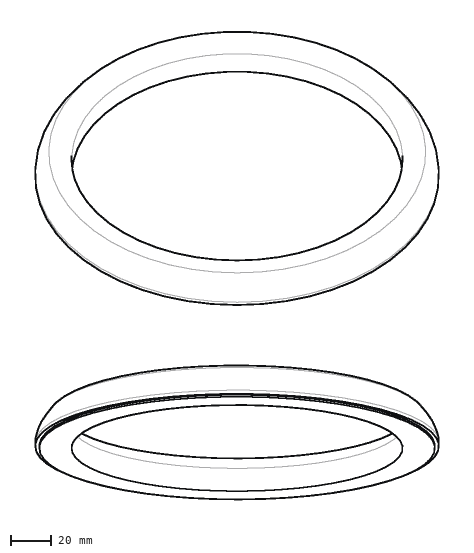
import cadquery as cq
import math

outer_radius = 100.0
bore_radius = 82.0
height = 18.5

foot_radius = 98.0
foot_height = 1.0

rim_top = 3.0
shoulder_top_height = 16.5

crown_arc_radius = 6.5
crown_center_radius = bore_radius + crown_arc_radius
crown_center_height = height - crown_arc_radius

shoulder_top_rise = shoulder_top_height - crown_center_height
shoulder_top_radius = crown_center_radius + math.sqrt(crown_arc_radius**2 - shoulder_top_rise**2)

rim_handle = 5.0
crown_handle = 4.0
shoulder_lean = math.radians(40)
shoulder_curve = [
    (outer_radius, rim_top),
    (outer_radius, rim_top + rim_handle),
    (
        shoulder_top_radius + crown_handle * math.sin(shoulder_lean),
        shoulder_top_height - crown_handle * math.cos(shoulder_lean),
    ),
    (shoulder_top_radius, shoulder_top_height),
]

half_section = (
    cq.Workplane("XZ")
    .moveTo(bore_radius, 0)
    .lineTo(foot_radius, 0)
    .lineTo(foot_radius, foot_height)
    .lineTo(outer_radius, foot_height)
    .lineTo(outer_radius, rim_top)
    .bezier(shoulder_curve)
    .threePointArc((crown_center_radius, height), (bore_radius, crown_center_height))
    .close()
)

result = half_section.revolve(360, (0, 0, 0), (0, 1, 0))